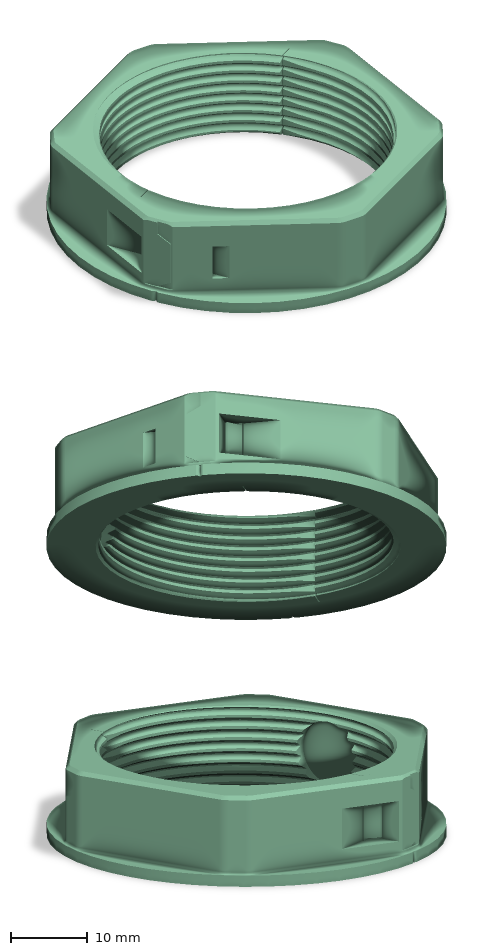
import cadquery as cq
import math

FLANGE_RADIUS = 26.0
FLANGE_HEIGHT = 1.5
TOTAL_HEIGHT = 12.0
HEX_APOTHEM = 23.0
CORNER_APOTHEM = 25.55
CORNER_RADIUS = 2.15
TOP_CHAMFER = 0.5
FOOT_RADIUS = 0.3
HEX_VERTEX = HEX_APOTHEM / math.cos(math.pi / 6)
FACE_SLOPE = math.tan(math.pi / 6)
OVERSIZE = 31.2

PITCH = 1.5
CREST_RADIUS = 19.15
ROOT_RADIUS = 20.0
ENTRY_RADIUS = 19.6
ROOT_HALF_WIDTH = PITCH / 16
GROOVE_HALF_WIDTH = PITCH * 3 / 8
ROOT_ANGLE = 177.0
LEFT_THREAD_ANGLES = (95.0, 265.0)
RIGHT_THREAD_ANGLES = (-110.0, 110.0)
CUTTER_OVERLAP = 0.15

TONGUE_LENGTH = 4.5
TONGUE_RADIUS = 21.6
TONGUE_GAP = 0.13
TAB_LENGTH = 2.0
TAB_SHOULDER_Y = 23.05
TAB_BASE_Y = 23.95
TAB_BOTTOM = 2.05
TAB_TOP = 9.95
TAB_TAPER = 1.05

LEFT_FLAT_Y = 25.4
RIGHT_FLAT_Y = 25.25
NOTCH_RADIUS = 0.545

HOOK_BOTTOM = 3.6
HOOK_TOP = 8.4
HOOK_HEIGHT = HOOK_TOP - HOOK_BOTTOM
HOOK_PEAK_Y = 22.65
HOOK_PEAK_WIDTH = 0.35
HOOK_CATCH_X = -2.65
POCKET_START_X = -9.6
POCKET_END_X = -2.4
POCKET_MARGIN = 0.3
POCKET_FLOOR_Y = HEX_VERTEX + POCKET_START_X * FACE_SLOPE

RECESS_RADIUS = 4.35
RECESS_FLOOR_X = 20.4
RECESS_Z = 6.4

SIDES = (1, -1)


def box(x_range, y_range, z_range):
    (x0, x1), (y0, y1), (z0, z1) = x_range, y_range, z_range
    return cq.Workplane().box(x1 - x0, y1 - y0, z1 - z0, centered=False).translate((x0, y0, z0))


def on_side(shape, side):
    """The shape itself for the +Y seam, its mirror image for the -Y seam."""
    return shape if side > 0 else shape.mirror("XZ")


def hex_prism(apothem, turn, height):
    diameter = 2 * apothem / math.cos(math.pi / 6)
    return cq.Workplane().polygon(6, diameter).extrude(height).rotate((0, 0, 0), (0, 0, 1), turn)


def nut_blank():
    """Undivided flanged nut with a plain bore."""
    body = hex_prism(HEX_APOTHEM, 30, TOTAL_HEIGHT).intersect(hex_prism(CORNER_APOTHEM, 0, TOTAL_HEIGHT))
    body = body.edges("|Z").fillet(CORNER_RADIUS)
    body = body.faces(">Z").edges().chamfer(TOP_CHAMFER)
    blank = cq.Workplane().circle(FLANGE_RADIUS).extrude(FLANGE_HEIGHT).union(body)
    flange_top_edges = blank.edges(cq.selectors.BoxSelector(
        (-OVERSIZE, -OVERSIZE, FLANGE_HEIGHT - FOOT_RADIUS),
        (OVERSIZE, OVERSIZE, FLANGE_HEIGHT + FOOT_RADIUS),
    ))
    foot_edges = [edge for edge in flange_top_edges.vals() if edge.Length() < FLANGE_RADIUS]
    blank = blank.newObject(foot_edges).fillet(FOOT_RADIUS)
    blank = blank.cut(cq.Workplane().circle(CREST_RADIUS).extrude(TOTAL_HEIGHT))
    for side in SIDES:
        blank = blank.cut(on_side(rim_notch(), side))
    return blank


def seam_flat(distance):
    """Space outside a flat beside the seam, down to a narrow ledge above the flange."""
    return box((-OVERSIZE, OVERSIZE), (distance, OVERSIZE), (TAB_BOTTOM, TOTAL_HEIGHT))


def rim_notch():
    """Cusped notch left between two rounded flange edges."""
    cusp_y = FLANGE_RADIUS - NOTCH_RADIUS
    return (
        cq.Workplane()
        .moveTo(-NOTCH_RADIUS, FLANGE_RADIUS)
        .radiusArc((0, cusp_y), NOTCH_RADIUS)
        .radiusArc((NOTCH_RADIUS, FLANGE_RADIUS), NOTCH_RADIUS)
        .close()
        .extrude(FLANGE_HEIGHT)
    )


def tongue_space(length):
    tip = box((-length, 0), (-OVERSIZE, OVERSIZE), (0, TOTAL_HEIGHT))
    return tip.intersect(cq.Workplane().circle(TONGUE_RADIUS).extrude(TOTAL_HEIGHT))


def tab():
    """Tab of the left half: full height near the bore, tapered at both ends near the outside."""
    inner = (
        cq.Workplane()
        .polyline([(0, TONGUE_RADIUS), (TAB_LENGTH, TONGUE_RADIUS), (TAB_LENGTH, TAB_SHOULDER_Y), (0, TAB_BASE_Y)])
        .close()
        .extrude(TOTAL_HEIGHT)
    )
    outer = (
        cq.Workplane("XZ", origin=(0, TAB_SHOULDER_Y, 0))
        .polyline([
            (0, TAB_BOTTOM),
            (TAB_LENGTH, TAB_BOTTOM + TAB_TAPER),
            (TAB_LENGTH, TAB_TOP - TAB_TAPER),
            (0, TAB_TOP),
        ])
        .close()
        .extrude(TAB_SHOULDER_Y - OVERSIZE)
    )
    return inner.union(outer)


def left_space():
    """Everything on the left of the seams, with the tabs and without the tongues."""
    space = box((-OVERSIZE, 0), (-OVERSIZE, OVERSIZE), (0, TOTAL_HEIGHT))
    for side in SIDES:
        space = space.union(on_side(tab(), side))
    return space.cut(tongue_space(TONGUE_LENGTH))


def groove_turn(start_angle, end_angle):
    """Part of one turn of the thread groove, with its centre on the top face at ROOT_ANGLE."""
    widening = (GROOVE_HALF_WIDTH - ROOT_HALF_WIDTH) / (ROOT_RADIUS - CREST_RADIUS)
    mouth_radius = CREST_RADIUS - CUTTER_OVERLAP
    mouth_half_width = GROOVE_HALF_WIDTH + CUTTER_OVERLAP * widening
    rise = PITCH * (end_angle - start_angle) / 360
    start_z = TOTAL_HEIGHT + PITCH * (start_angle - ROOT_ANGLE) / 360
    helix = cq.Wire.makeHelix(PITCH, rise, CREST_RADIUS)
    return (
        cq.Workplane("XZ")
        .polyline([
            (mouth_radius, -mouth_half_width),
            (ROOT_RADIUS, -ROOT_HALF_WIDTH),
            (ROOT_RADIUS, ROOT_HALF_WIDTH),
            (mouth_radius, mouth_half_width),
        ])
        .close()
        .sweep(cq.Workplane(helix), isFrenet=True)
        .rotate((0, 0, 0), (0, 0, 1), start_angle)
        .translate((0, 0, start_z))
    )


def thread_entry():
    """Cone that chamfers the bore at the top face."""
    depth = ENTRY_RADIUS - CREST_RADIUS
    base_centre = cq.Vector(0, 0, TOTAL_HEIGHT - depth)
    return cq.Workplane(cq.Solid.makeCone(CREST_RADIUS, ENTRY_RADIUS, depth, base_centre))


def cut_thread(half, start_angle, end_angle):
    """Thread the bore of one half, which lies between the two angles, and chamfer both ends."""
    turn = groove_turn(start_angle, end_angle)
    for level in range(math.ceil(TOTAL_HEIGHT / PITCH) + 1):
        half = half.cut(turn.translate((0, 0, -level * PITCH)))
    return half.cut(thread_entry()).cut(thread_entry().mirror("XY").translate((0, 0, TOTAL_HEIGHT)))


def pocket():
    return box(
        (POCKET_START_X, POCKET_END_X),
        (POCKET_FLOOR_Y, OVERSIZE),
        (HOOK_BOTTOM - POCKET_MARGIN, HOOK_TOP + POCKET_MARGIN),
    )


def snap_hook():
    """Hook on the tongue, with a ramp towards its tip and a catch face behind."""
    tip_y = math.sqrt(TONGUE_RADIUS**2 - TONGUE_LENGTH**2)
    return (
        cq.Workplane(origin=(0, 0, HOOK_BOTTOM))
        .polyline([
            (-TONGUE_LENGTH, tip_y - 0.5),
            (-TONGUE_LENGTH, tip_y),
            (HOOK_CATCH_X - HOOK_PEAK_WIDTH, HOOK_PEAK_Y),
            (HOOK_CATCH_X, HOOK_PEAK_Y),
            (HOOK_CATCH_X, tip_y - 0.5),
        ])
        .close()
        .extrude(HOOK_HEIGHT)
    )


def hook_channel():
    """Passage in line with the hook, from the tab to the outer face of the right half."""
    return box((TAB_LENGTH, OVERSIZE / 2), (TONGUE_RADIUS, HOOK_PEAK_Y), (HOOK_BOTTOM, HOOK_TOP))


def bore_recess():
    return (
        cq.Workplane("YZ")
        .center(0, RECESS_Z)
        .circle(RECESS_RADIUS)
        .extrude(RECESS_FLOOR_X)
    )


def make_left_half(blank):
    half = blank.intersect(left_space()).cut(tongue_space(TONGUE_LENGTH + TONGUE_GAP))
    half = cut_thread(half, *LEFT_THREAD_ANGLES)
    for side in SIDES:
        half = half.cut(on_side(seam_flat(LEFT_FLAT_Y), side))
        half = half.cut(on_side(pocket(), side))
    return half


def make_right_half(blank):
    half = blank.cut(left_space())
    half = half.cut(box((-TONGUE_LENGTH, 0), (-CREST_RADIUS, CREST_RADIUS), (0, TOTAL_HEIGHT)))
    half = cut_thread(half, *RIGHT_THREAD_ANGLES).cut(bore_recess())
    for side in SIDES:
        half = half.cut(on_side(seam_flat(RIGHT_FLAT_Y), side))
        half = half.cut(on_side(hook_channel(), side))
        half = half.union(on_side(snap_hook(), side))
    return half


nut = nut_blank()
left_half = make_left_half(nut)
right_half = make_right_half(nut)

result = cq.Compound.makeCompound([left_half.val(), right_half.val()])